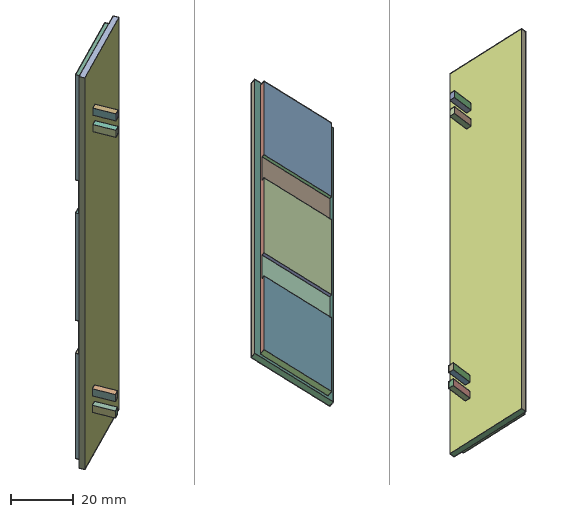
import cadquery as cq

plate_height = 168.0
plate_width = 31.0
plate_thickness = 2.0

panel_thickness = 2.0
panel_side_margin = 2.2
panel_end_margin = 1.7
panel_width = plate_width - 2 * panel_side_margin
panel_height = plate_height - 2 * panel_end_margin

band_depth = 1.0
band_height = 14.1
band_offset = 30.0

pin_width = 2.0
pin_height = 3.0
pin_length = 7.9
pin_y = -7.5
pin_pair_y_shift = 0.25
pin_pair_offset = 60.0
pin_pair_spacing = 7.0


def slab(x_start, thickness, width, height, z_center=0):
    """Box starting at x_start, centred on Y."""
    return (
        cq.Workplane("XY")
        .box(thickness, width, height, centered=(False, True, True))
        .translate((x_start, 0, z_center))
    )


def make_panel():
    """Raised panel with its two recessed bands."""
    panel = slab(-panel_thickness, panel_thickness, panel_width, panel_height)
    for side in (-1, 1):
        panel = panel.cut(
            slab(-panel_thickness, band_depth, panel_width, band_height, side * band_offset)
        )
    return panel


def make_pins():
    """Two pairs of rectangular pins standing on the back of the plate."""
    pin_points = [
        (pin_y + pair * pin_pair_y_shift, pair * pin_pair_offset + side * pin_pair_spacing / 2)
        for pair in (-1, 1)
        for side in (-1, 1)
    ]
    return (
        cq.Workplane("YZ", origin=(plate_thickness, 0, 0))
        .pushPoints(pin_points)
        .rect(pin_width, pin_height)
        .extrude(pin_length)
    )


plate = slab(0, plate_thickness, plate_width, plate_height)
result = plate.union(make_panel()).union(make_pins())